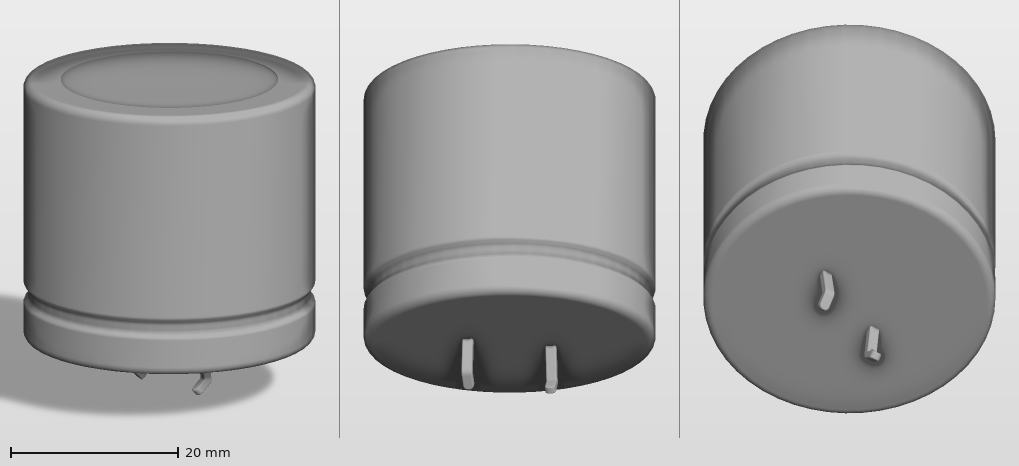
import cadquery as cq
import math

can_diameter = 34.97
can_height = 32.05
rim_radius = 1.0
label_recess_diameter = 26.0
label_recess_depth = 0.1

groove_height = 5.8
groove_half_width = 1.4
groove_floor_half_width = 0.3
groove_diameter = 33.8
groove_blend_radius = 0.57
groove_flank_angle = 45.0

overall_height = 38.15
pin_spacing = 10.22
pin_width = 1.3
pin_thickness = 0.95
pin_edge_radius = 0.2
pin_tip_radius = 0.57
pin_knee_radius = 0.95
pin_heading = 66.0
pin_lean = 8.5
pin_fold = 45.0
pin_knee_depth = 4.35
pin_root = 1.15

can_radius = can_diameter / 2
groove_radius = groove_diameter / 2
pin_drop = overall_height - can_height


def make_can():
    can = cq.Workplane("XY").circle(can_radius).extrude(can_height)
    can = can.edges().fillet(rim_radius)
    recess = (
        cq.Workplane("XY", origin=(0, 0, can_height - label_recess_depth))
        .circle(label_recess_diameter / 2)
        .extrude(label_recess_depth)
    )
    return can.cut(recess)


def make_groove():
    """Ring-shaped cutter, mirrored about the middle height of the groove."""
    blend = groove_blend_radius
    flank = math.radians(groove_flank_angle)
    mid_in = blend * (1 - math.cos(flank / 2))
    mid_up = blend * math.sin(flank / 2)
    end_in = blend * (1 - math.cos(flank))
    end_up = blend * math.sin(flank)
    half = (
        cq.Workplane("XZ")
        .moveTo(groove_radius, 0)
        .lineTo(groove_radius, groove_floor_half_width)
        .threePointArc(
            (groove_radius + mid_in, groove_floor_half_width + mid_up),
            (groove_radius + end_in, groove_floor_half_width + end_up),
        )
        .lineTo(can_radius - end_in, groove_half_width - end_up)
        .threePointArc(
            (can_radius - mid_in, groove_half_width - mid_up),
            (can_radius, groove_half_width),
        )
        .lineTo(can_radius, 0)
        .close()
        .revolve(360, (0, 0, 0), (0, 1, 0))
    )
    ring = half.union(half.mirror("XY"))
    return ring.translate((0, 0, groove_height))


def make_pin():
    """Pin below the origin, leaning towards +X and folding back towards -X."""
    half = pin_thickness / 2
    lean = math.radians(pin_lean)
    fold = math.radians(pin_fold)
    root_x = -pin_root * math.tan(lean)
    root_half = half / math.cos(lean)
    knee_x = pin_knee_depth * math.tan(lean)

    bisector = (fold - lean) / 2
    miter = half / math.cos((fold + lean) / 2)
    miter_x = miter * math.cos(bisector)
    miter_z = miter * math.sin(bisector)

    tip_x = half * math.cos(fold)
    tip_z = half * math.sin(fold)
    tip_rounding = pin_edge_radius * (math.cos(fold) + math.sin(fold) - 1)
    end_z = tip_z - tip_rounding - pin_drop
    end_x = knee_x - (-end_z - pin_knee_depth) * math.tan(fold)

    pin = (
        cq.Workplane("XZ")
        .moveTo(root_x - root_half, pin_root)
        .lineTo(root_x + root_half, pin_root)
        .lineTo(knee_x + miter_x, -pin_knee_depth - miter_z)
        .lineTo(end_x + tip_x, end_z - tip_z)
        .lineTo(end_x - tip_x, end_z + tip_z)
        .lineTo(knee_x - miter_x, -pin_knee_depth + miter_z)
        .close()
        .extrude(pin_width / 2, both=True)
    )
    knee = cq.selectors.NearestToPointSelector(
        (knee_x + miter_x, 0, -pin_knee_depth - miter_z)
    )
    pin = pin.edges("|Y").edges(knee).fillet(pin_knee_radius)

    tip = cq.selectors.NearestToPointSelector((end_x, 0, end_z))
    across_fold = cq.selectors.ParallelDirSelector(cq.Vector(tip_x, 0, -tip_z))
    pin = pin.faces(tip).edges(across_fold).fillet(pin_tip_radius)
    return pin.faces("<Y or >Y").edges(-across_fold).fillet(pin_edge_radius)


pin = make_pin().rotate((0, 0, 0), (0, 0, 1), pin_heading).translate((pin_spacing / 2, 0, 0))

result = make_can().cut(make_groove())
for turn in (0, 180):
    result = result.union(pin.rotate((0, 0, 0), (0, 0, 1), turn))